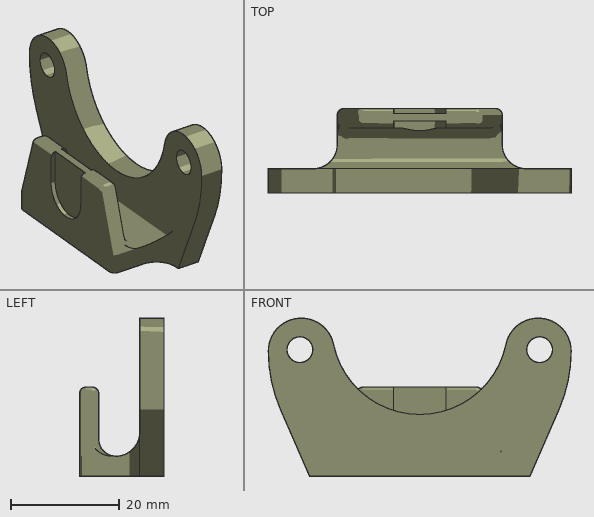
import cadquery as cq
import math

overall_width = 55.88
overall_height = 29.21
plate_thickness = 4.51
base_width = 40.64
lobe_radius = 6.1
flank_radius = 27.0
hole_diameter = 4.7
hole_x = 22.1
hole_z = 23.37
saddle_bottom = 11.43

overall_depth = 15.62
hook_width = 30.48
hook_height = 16.51
wall_thickness = 3.6
floor_height = 3.75
plate_fillet = 4.4
wall_fillet = 3.1
top_corner_half_width = 11.34
edge_radius = 1.27

slot_width = 9.6
slot_bottom = 5.14
inner_slot_depth = edge_radius
outer_slot_depth = 0.9

half_width = overall_width / 2
half_base = base_width / 2
half_hook = hook_width / 2
lobe_x = half_width - lobe_radius
lobe_z = overall_height - lobe_radius
wall_inner_y = overall_depth - wall_thickness
floor_y = plate_thickness + plate_fillet

concave_middle = math.radians(225)


def polar(center, radius, angle):
    """Point on a circle, with the angle in radians."""
    return (center[0] + radius * math.cos(angle), center[1] + radius * math.sin(angle))


def mirrored(point):
    return (-point[0], point[1])


def make_plate():
    rise = lobe_z - saddle_bottom
    saddle_radius = (lobe_x**2 + rise**2 - lobe_radius**2) / (2 * (rise + lobe_radius))
    saddle = (0, saddle_bottom + saddle_radius)
    lobe_direction = math.atan2(lobe_z - saddle[1], lobe_x)
    saddle_end = polar(saddle, saddle_radius, lobe_direction)

    flank = (half_width - flank_radius, lobe_z)
    base_offset = half_base - flank[0]
    base_distance = math.hypot(base_offset, lobe_z)
    flank_angle = math.acos(flank_radius / base_distance) - math.atan2(lobe_z, base_offset)
    flank_end = polar(flank, flank_radius, flank_angle)
    flank_middle = polar(flank, flank_radius, flank_angle / 2)

    lobe_top = (lobe_x, overall_height)
    lobe_side = (half_width, lobe_z)
    outline = (
        cq.Workplane("XZ")
        .moveTo(-half_base, 0)
        .lineTo(half_base, 0)
        .lineTo(*flank_end)
        .threePointArc(flank_middle, lobe_side)
        .threePointArc(lobe_top, saddle_end)
        .threePointArc((0, saddle_bottom), mirrored(saddle_end))
        .threePointArc(mirrored(lobe_top), mirrored(lobe_side))
        .threePointArc(mirrored(flank_middle), mirrored(flank_end))
        .close()
    )
    holes = (
        cq.Workplane("XZ")
        .pushPoints([(hole_x, hole_z), (-hole_x, hole_z)])
        .circle(hole_diameter / 2)
        .extrude(-plate_thickness)
    )
    return outline.extrude(-plate_thickness).cut(holes)


def make_root():
    """Concave sweep that joins the foot to the plate and flares out at both sides."""
    sweep_middle = polar((floor_y, floor_height + plate_fillet), plate_fillet, concave_middle)
    section = (
        cq.Workplane("YZ")
        .moveTo(plate_thickness, 0)
        .lineTo(floor_y, 0)
        .lineTo(floor_y, floor_height)
        .threePointArc(sweep_middle, (plate_thickness, floor_height + plate_fillet))
        .close()
        .extrude(half_width, both=True)
    )
    flare_end = (half_hook + plate_fillet, plate_thickness)
    flare_start = (half_hook, floor_y)
    flare_middle = polar((flare_end[0], floor_y), plate_fillet, concave_middle)
    plan = (
        cq.Workplane("XY")
        .moveTo(*mirrored(flare_end))
        .lineTo(*flare_end)
        .threePointArc(flare_middle, flare_start)
        .lineTo(*mirrored(flare_start))
        .threePointArc(mirrored(flare_middle), mirrored(flare_end))
        .close()
        .extrude(hook_height)
    )
    return section.intersect(plan)


def make_wall():
    """Tapered wall with rounded upper corners and rounded inner edges."""
    taper_start = (half_hook, floor_height)
    top_corner = (top_corner_half_width, hook_height)
    return (
        cq.Workplane("XZ", origin=(0, wall_inner_y, 0))
        .moveTo(*mirrored(taper_start))
        .lineTo(*taper_start)
        .lineTo(*top_corner)
        .lineTo(*mirrored(top_corner))
        .close()
        .extrude(-wall_thickness)
        .edges("|Y and >Z")
        .fillet(edge_radius)
        .faces("<Y")
        .edges("not <Z")
        .fillet(edge_radius)
    )


def make_hook():
    foot_depth = overall_depth - floor_y
    foot = (
        cq.Workplane("XY", origin=(0, floor_y + foot_depth / 2, 0))
        .rect(hook_width, foot_depth)
        .extrude(floor_height)
    )
    wall_root = cq.NearestToPointSelector((0, wall_inner_y, floor_height))
    return (
        make_root()
        .union(foot)
        .union(make_wall())
        .edges(wall_root)
        .fillet(wall_fillet)
        .faces(">Y")
        .edges("not <Z")
        .fillet(edge_radius)
    )


def slot_cutter(start_y, depth):
    radius = slot_width / 2
    center_z = slot_bottom + radius
    return (
        cq.Workplane("XZ", origin=(0, start_y, 0))
        .moveTo(-radius, hook_height)
        .lineTo(-radius, center_z)
        .threePointArc((0, slot_bottom), (radius, center_z))
        .lineTo(radius, hook_height)
        .close()
        .extrude(-depth)
    )


inner_slot = slot_cutter(floor_y, wall_inner_y + inner_slot_depth - floor_y)
outer_slot = slot_cutter(overall_depth - outer_slot_depth, outer_slot_depth)
hook = make_hook().cut(inner_slot).cut(outer_slot)
result = make_plate().union(hook)